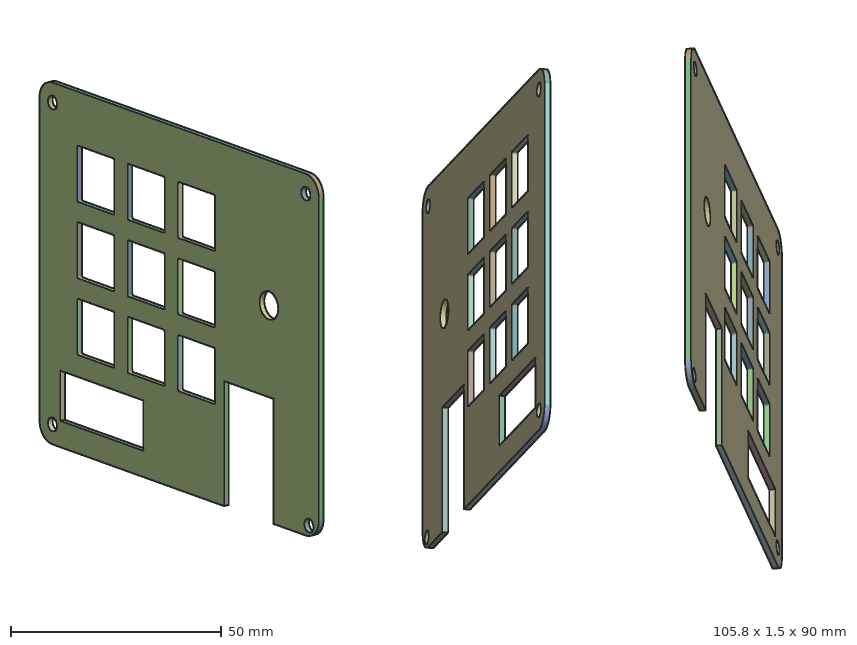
import cadquery as cq

width = 105.8
height = 90.0
thickness = 1.5
corner_radius = 5.0
right = width / 2
top = height / 2
left = -right
bottom = -top

mount_diameter = 3.4
mount_inset = corner_radius
odd_mount_inset_x = 3.8
odd_mount_inset_z = 2.7

key_size = 14.0
key_radius = 0.4
key_pitch = 19.0
key_count = 3
grid_from_left = 40.4
grid_from_bottom = 50.5
grid_center_x = left + grid_from_left
grid_center_z = bottom + grid_from_bottom

shaft_diameter = 7.0
shaft_from_left = 86.8
shaft_from_bottom = 53.9
shaft_x = left + shaft_from_left
shaft_z = bottom + shaft_from_bottom

window_width = 31.3
window_height = 12.5
window_from_left = 7.9
window_from_bottom = 6.6
window_x = left + window_from_left + window_width / 2
window_z = bottom + window_from_bottom + window_height / 2

notch_width = 18.6
notch_depth = 31.1
notch_from_left = 69.9
notch_x = left + notch_from_left + notch_width / 2
notch_z = bottom + notch_depth / 2


def block(size_x, size_z, x=0.0, z=0.0):
    """Box through the plate thickness, centred at (x, z)."""
    return cq.Workplane("XY").box(size_x, thickness, size_z).translate((x, 0, z))


def round_hole(diameter, x, z):
    """Cylinder through the plate thickness, centred at (x, z)."""
    return cq.Workplane("XZ").center(x, z).circle(diameter / 2).extrude(thickness / 2, both=True)


result = block(width, height).edges("|Y").fillet(corner_radius)

mount_points = [
    (left + mount_inset, bottom + mount_inset),
    (left + mount_inset, top - mount_inset),
    (right - mount_inset, top - mount_inset),
    (right - odd_mount_inset_x, bottom + odd_mount_inset_z),
]
for x, z in mount_points:
    result = result.cut(round_hole(mount_diameter, x, z))

result = result.cut(round_hole(shaft_diameter, shaft_x, shaft_z))

key_cutout = block(key_size, key_size).edges("|Y").fillet(key_radius)
for column in range(key_count):
    for row in range(key_count):
        x = grid_center_x + (column - (key_count - 1) / 2) * key_pitch
        z = grid_center_z + (row - (key_count - 1) / 2) * key_pitch
        result = result.cut(key_cutout.translate((x, 0, z)))

result = result.cut(block(window_width, window_height, window_x, window_z))
result = result.cut(block(notch_width, notch_depth, notch_x, notch_z))